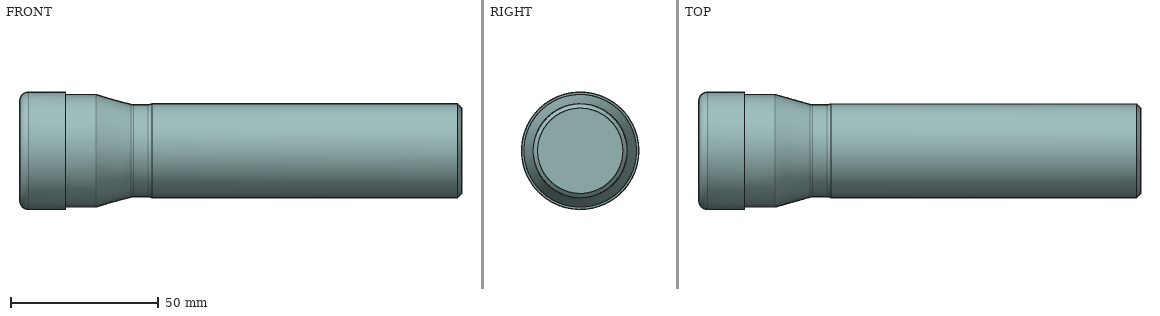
import cadquery as cq
import math

total_length = 150.0

cap_radius = 20.0
cap_length = 15.6
rim_radius = 3.0
face_radius = 29.2 / 2

head_radius = 38.2 / 2
head_end = 26.0
neck_radius = 31.4 / 2
neck_start = 38.5
handle_radius = 32.0 / 2
groove_end = 44.8
groove_fillet = 3.0
end_chamfer = 1.5


def revolve_about_x(profile):
    """Close a half profile drawn in XY and turn it around the X axis."""
    return profile.close().revolve(360, (0, 0, 0), (1, 0, 0))


def make_cap():
    crest_radius = cap_radius - rim_radius
    face_depth = rim_radius - math.sqrt(rim_radius**2 - (crest_radius - face_radius) ** 2)

    profile = (
        cq.Workplane("XY")
        .moveTo(face_depth, 0)
        .lineTo(face_depth, face_radius)
        .threePointArc((0, crest_radius), (rim_radius, cap_radius))
        .lineTo(cap_length, cap_radius)
        .lineTo(cap_length, 0)
    )
    return revolve_about_x(profile)


def make_barrel():
    def on_fillet(start, direction, angle):
        """Point on a groove fillet, turned by angle from its tangent point on the neck."""
        return (
            start + direction * groove_fillet * math.sin(angle),
            neck_radius + groove_fillet * (1 - math.cos(angle)),
        )

    run = neck_start - head_end
    drop = head_radius - (neck_radius + groove_fillet)
    taper_angle = math.atan2(drop, run) + math.asin(groove_fillet / math.hypot(run, drop))

    rise_angle = math.acos(1 - (handle_radius - neck_radius) / groove_fillet)
    neck_end = groove_end - groove_fillet * math.sin(rise_angle)

    profile = (
        cq.Workplane("XY")
        .moveTo(cap_length, 0)
        .lineTo(cap_length, head_radius)
        .lineTo(head_end, head_radius)
        .lineTo(*on_fillet(neck_start, -1, taper_angle))
        .threePointArc(on_fillet(neck_start, -1, taper_angle / 2), (neck_start, neck_radius))
        .lineTo(neck_end, neck_radius)
        .threePointArc(on_fillet(neck_end, 1, rise_angle / 2), (groove_end, handle_radius))
        .lineTo(total_length - end_chamfer, handle_radius)
        .lineTo(total_length, handle_radius - end_chamfer)
        .lineTo(total_length, 0)
    )
    return revolve_about_x(profile)


cap = make_cap()
barrel = make_barrel()

result = cq.Compound.makeCompound([cap.val(), barrel.val()])